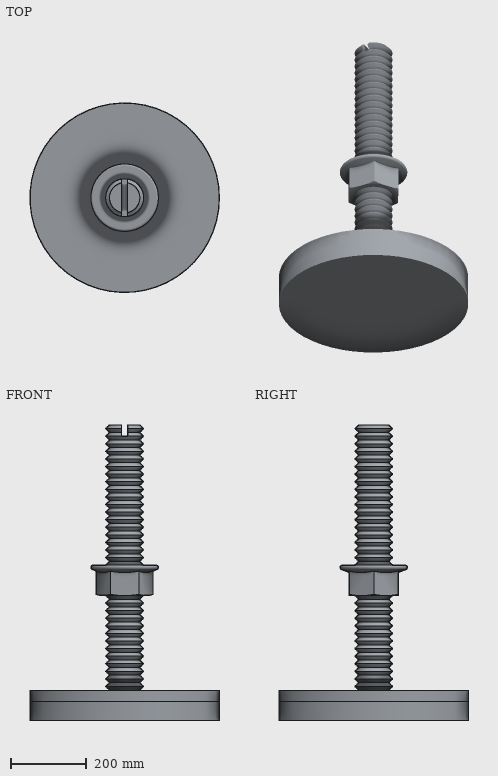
import cadquery as cq
import math

foot_diameter = 500
pad_height = 50
plate_height = 30
foot_height = pad_height + plate_height

overall_height = 780
stud_height = overall_height - foot_height
crest_radius = 50
root_radius = 40
thread_pitch = 20
ridge_count = stud_height // thread_pitch

slot_width = 16
slot_depth = 30

nut_bottom = 330
nut_height = 80
hex_across_flats = 130
hex_half_face_angle = math.radians(30)
hex_across_corners = hex_across_flats / math.cos(hex_half_face_angle)
chamfer_circle_diameter = 132
hex_chamfer_height = 3
flange_diameter = 178
flange_rounding = 6
flange_cone_angle = math.radians(22)
flange_cone_bottom_radius = 60


def make_disc(bottom, height):
    return cq.Workplane("XY").workplane(offset=bottom).circle(foot_diameter / 2).extrude(height)


def make_threaded_rod():
    """Revolve a zigzag outline: one sharp crest per pitch, roots at both ends."""
    outline = cq.Workplane("XZ").moveTo(0, foot_height).lineTo(root_radius, foot_height)
    for ridge in range(ridge_count):
        ridge_bottom = foot_height + ridge * thread_pitch
        outline = outline.lineTo(crest_radius, ridge_bottom + thread_pitch / 2)
        outline = outline.lineTo(root_radius, ridge_bottom + thread_pitch)
    return outline.lineTo(0, overall_height).close().revolve(360, (0, 0), (0, 1))


def cut_slot(rod):
    slot = (
        cq.Workplane("XY")
        .workplane(offset=overall_height - slot_depth)
        .rect(slot_width, 2 * crest_radius)
        .extrude(slot_depth)
    )
    return rod.cut(slot)


def make_hex():
    """Hexagon with corners along X, its lower corners trimmed by a cone."""
    hexagon = (
        cq.Workplane("XY")
        .workplane(offset=nut_bottom)
        .polygon(6, hex_across_corners)
        .extrude(nut_height - 2 * flange_rounding)
    )
    corner_radius = hex_across_corners / 2
    trimming_cone = (
        cq.Workplane("XZ")
        .moveTo(0, nut_bottom)
        .lineTo(chamfer_circle_diameter / 2, nut_bottom)
        .lineTo(corner_radius, nut_bottom + hex_chamfer_height)
        .lineTo(corner_radius, nut_bottom + nut_height)
        .lineTo(0, nut_bottom + nut_height)
        .close()
        .revolve(360, (0, 0), (0, 1))
    )
    return hexagon.intersect(trimming_cone)


def make_flange():
    """Round flange whose rounded rim runs smoothly into a conical underside."""
    nut_top = nut_bottom + nut_height
    rim_center_radius = flange_diameter / 2 - flange_rounding
    rim_center_height = nut_top - flange_rounding
    cone_top_radius = rim_center_radius + flange_rounding * math.sin(flange_cone_angle)
    cone_top = rim_center_height - flange_rounding * math.cos(flange_cone_angle)
    cone_bottom = cone_top - (cone_top_radius - flange_cone_bottom_radius) * math.tan(flange_cone_angle)
    return (
        cq.Workplane("XZ")
        .moveTo(0, cone_bottom)
        .lineTo(flange_cone_bottom_radius, cone_bottom)
        .lineTo(cone_top_radius, cone_top)
        .threePointArc((flange_diameter / 2, rim_center_height), (rim_center_radius, nut_top))
        .lineTo(0, nut_top)
        .close()
        .revolve(360, (0, 0), (0, 1))
    )


pad = make_disc(0, pad_height)
plate = make_disc(pad_height, plate_height)
threaded_rod = make_threaded_rod()
stud = cut_slot(threaded_rod)
nut = make_hex().union(make_flange()).cut(threaded_rod)

result = cq.Compound.makeCompound([pad.val(), plate.val(), stud.val(), *nut.vals()])